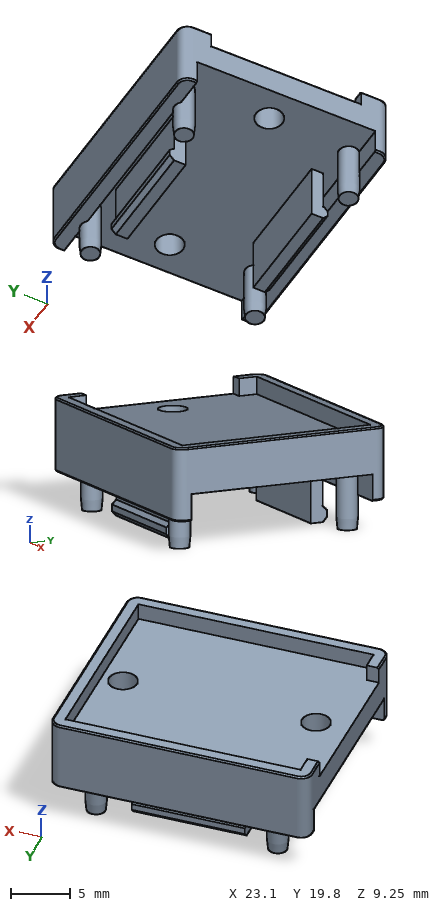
import cadquery as cq

length = 23.1
width = 19.8
total_height = 9.25
body_height = 6.3
corner_radius = 1.0
edge_chamfer = 0.15
body_bottom = total_height - body_height

tray_depth = 1.5
tray_wall = 1.09
notch_width = 14.32
tray_floor = total_height - tray_depth

floor_thickness = 2.5
channel_width = 17.0
floor_bottom = tray_floor - floor_thickness

root_z = tray_floor - floor_thickness / 2

hole_diameter = 2.5
hole_offset = 8.6

pin_diameter = 1.85
pin_tip_diameter = 1.66
pin_taper_height = 1.0
pin_offset_x = 8.08
pin_offset_y = 7.85

clip_length = 10.07
clip_inner_y = 6.0
clip_thickness = 1.1
lip_projection = 0.42
lip_lead_in_height = 0.45
lip_face_top = 1.02
lip_top = 1.39


def make_body():
    body = (
        cq.Workplane("XY", origin=(0, 0, body_bottom))
        .rect(length, width)
        .extrude(body_height)
        .edges("|Z")
        .fillet(corner_radius)
        .faces("<Z or >Z")
        .chamfer(edge_chamfer)
    )
    tray = cq.Workplane("XY", origin=(0, 0, tray_floor)).rect(
        length - 2 * tray_wall, width - 2 * tray_wall
    ).extrude(tray_depth)
    notch = cq.Workplane("XY", origin=(-length / 2, 0, tray_floor)).rect(
        length, notch_width
    ).extrude(tray_depth)
    channel = cq.Workplane("XY", origin=(0, 0, body_bottom)).rect(
        length, channel_width
    ).extrude(floor_bottom - body_bottom)
    return body.cut(tray).cut(notch).cut(channel)


def make_pin(x, y):
    tip_radius = pin_tip_diameter / 2
    radius = pin_diameter / 2
    half_profile = [
        (0, 0),
        (tip_radius, 0),
        (radius, pin_taper_height),
        (radius, root_z),
        (0, root_z),
    ]
    pin = cq.Workplane("XZ").polyline(half_profile).close().revolve(360, (0, 0), (0, 1))
    return pin.translate((x, y, 0))


def make_clip():
    outer_y = clip_inner_y + clip_thickness
    lip_y = outer_y + lip_projection
    profile = [
        (clip_inner_y, 0),
        (outer_y, 0),
        (lip_y, lip_lead_in_height),
        (lip_y, lip_face_top),
        (outer_y, lip_top),
        (outer_y, root_z),
        (clip_inner_y, root_z),
    ]
    return cq.Workplane("YZ").polyline(profile).close().extrude(clip_length / 2, both=True)


result = make_body()

for pin_x in (-pin_offset_x, pin_offset_x):
    for pin_y in (-pin_offset_y, pin_offset_y):
        result = result.union(make_pin(pin_x, pin_y))

clip = make_clip()
result = result.union(clip).union(clip.mirror("XZ"))

holes = (
    cq.Workplane("XY", origin=(0, 0, floor_bottom))
    .pushPoints([(-hole_offset, 0), (hole_offset, 0)])
    .circle(hole_diameter / 2)
    .extrude(floor_thickness)
)
result = result.cut(holes)